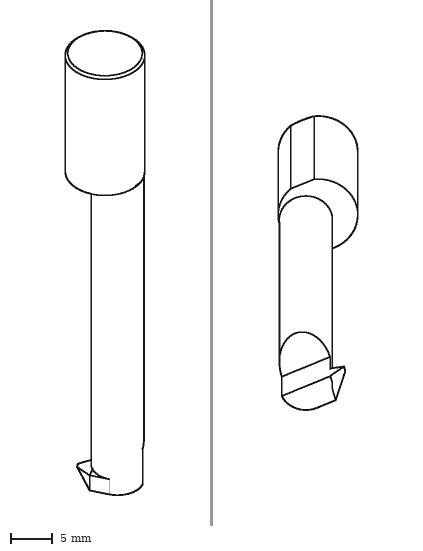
import cadquery as cq
import math

total_length = 63.5
head_radius = 4.75
head_length = 17.7
head_chamfer = 0.3
flat_y = 4.5

neck_radius = 3.2
neck_x = head_radius - neck_radius
neck_length = total_length - head_length

relief_height = 5.35
relief_angle = 45.0

tooth_height = 2.3
flank_limit = 3.2
tip_x = -3.4
tip_z = tooth_height / 2
point_half_angle = math.radians(30)
side_clearance = math.radians(6)
heel_x = -0.9
ridge_depth = 0.65


def make_head():
    head = (
        cq.Workplane("XY").workplane(offset=neck_length)
        .circle(head_radius).extrude(head_length)
        .faces(">Z").chamfer(head_chamfer)
    )
    beyond_flat = (
        cq.Workplane("XY").workplane(offset=neck_length)
        .center(0, flat_y + head_radius)
        .rect(2 * head_radius, 2 * head_radius).extrude(head_length)
    )
    return head.cut(beyond_flat)


def make_neck():
    neck = cq.Workplane("XY").center(neck_x, 0).circle(neck_radius).extrude(neck_length)
    slope_top = relief_height + neck_radius * math.tan(math.radians(relief_angle))
    relief = (
        cq.Workplane("YZ").workplane(offset=neck_x)
        .polyline([(0, 0), (neck_radius, 0), (neck_radius, slope_top), (0, relief_height)]).close()
        .extrude(neck_radius, both=True)
    )
    return neck.cut(relief)


def tooth_section(depth):
    """Triangle corners in the XZ plane; the clearance narrows it away from the rake face."""
    flank_inset = depth * math.tan(side_clearance)
    ridge_x = tip_x + flank_inset / math.tan(point_half_angle)
    half_height = (neck_x - ridge_x) * math.tan(point_half_angle)
    return [(ridge_x, tip_z), (neck_x, tip_z + half_height), (neck_x, tip_z - half_height)]


def make_tooth():
    wedge = (
        cq.Workplane("XZ").polyline(tooth_section(0)).close()
        .workplane(offset=neck_radius).polyline(tooth_section(neck_radius)).close()
        .loft(ruled=True)
    )
    relief_start_x = tooth_section(ridge_depth)[0][0]
    plan = (
        cq.Workplane("XY")
        .moveTo(tip_x, 0).lineTo(tip_x, -ridge_depth).lineTo(relief_start_x, -ridge_depth)
        .lineTo(heel_x, -neck_radius).lineTo(heel_x, 0).close()
        .extrude(flank_limit)
    )
    shank = (
        cq.Workplane("XY").moveTo(heel_x, -neck_radius).lineTo(neck_x, -neck_radius)
        .lineTo(neck_x, 0).lineTo(heel_x, 0).close().extrude(tooth_height)
    )
    return wedge.intersect(plan).union(shank)


result = make_head().union(make_neck()).union(make_tooth())